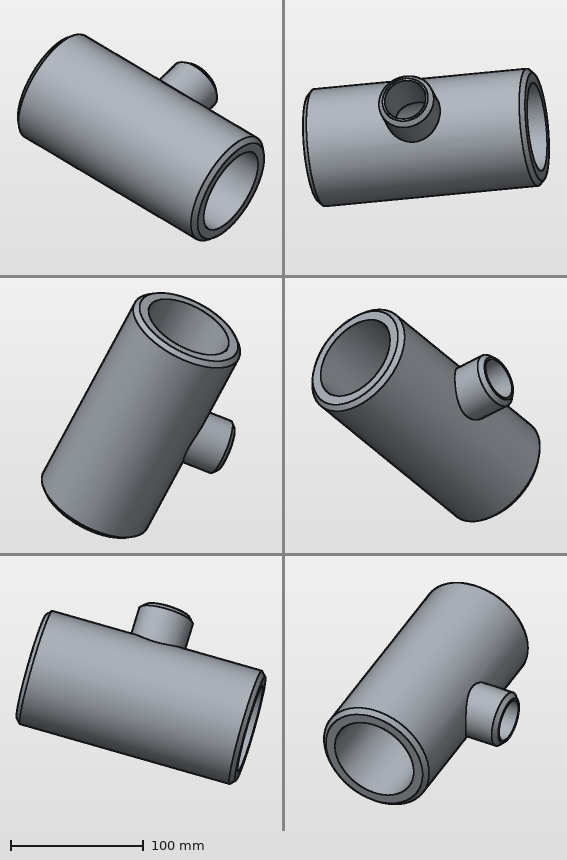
import cadquery as cq

pipe_length = 171.7
pipe_diameter = 89.0
pipe_bore = 66.6

branch_reach = 69.9
branch_diameter = 42.4
branch_bore = branch_diameter * pipe_bore / pipe_diameter

end_chamfer = 3.6


def cylinder_along_x(diameter):
    return cq.Workplane("YZ").circle(diameter / 2).extrude(pipe_length / 2, both=True)


def cylinder_along_y(diameter):
    """Cylinder from the pipe axis to the branch end."""
    return cq.Workplane("XZ").circle(diameter / 2).extrude(-branch_reach)


pipe = cylinder_along_x(pipe_diameter).faces("<X or >X").edges().chamfer(end_chamfer)
branch = cylinder_along_y(branch_diameter).faces(">Y").edges().chamfer(end_chamfer)

result = (
    pipe.union(branch)
    .cut(cylinder_along_x(pipe_bore))
    .cut(cylinder_along_y(branch_bore))
)